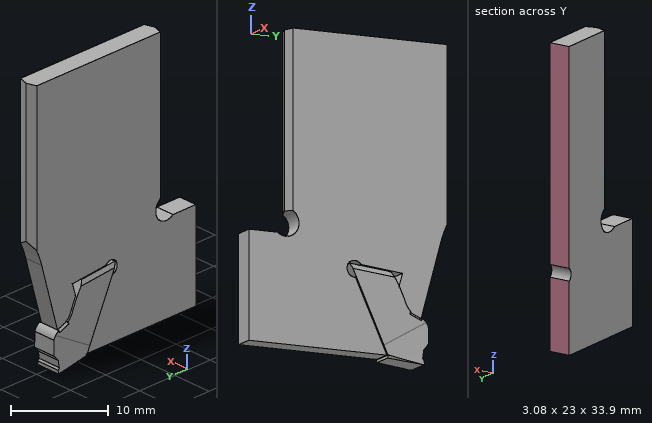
import cadquery as cq
import math

blade_half = 1.203
blade_top = 33.88
blade_back = 23.0
shank_front = 4.68
edge_bevel = 0.37
blade_bottom = 0.68
foot_top = 12.33
corner_center = (4.25, 13.5)
corner_radius = 1.5
back_start = (blade_back, 15.75)
back_bend = (22.53, 14.77)
back_end = (21.92, 13.05)

seat_bottom = (15.75, blade_bottom)
pocket_back = (17.55, 9.42)
pocket_front = (11.52, 10.0)
pocket_relief_center = (12.1, 9.35)
pocket_relief_radius = 0.88

insert_half = 1.42
cutting_half = 1.54
cutting_corner = (19.9, 0.0)
cutting_land = 0.45
chip_groove = (19.72, 0.68)
chip_ramp = (19.85, 1.55)
nose_y = 20.4
nose_bottom = 2.2
nose_top = 4.03
nose_round = (20.15, 4.5)
flank_bottom = (15.82, 0.37)
finger_tip = (19.7, 4.88)
finger_root = (18.4, 5.42)
finger_mid = (18.0, 5.93)
finger_side = (17.7, 6.6)
finger_contact = (17.1, 7.9)
inner_back = (16.23, 9.45)
inner_front = (11.52, 9.9)
end_bevel_x = 0.25
end_bevel_depth = 0.55
shoulder_bevel_x = 0.22
shoulder_bevel_depth = 0.27
flare_start = (15.15, 1.55)
flare_end = (19.72, 4.25)
flank_relief_x = 0.17
flank_relief_height = 0.27

overrun = 0.68


def extrude_x(sketch, half):
    """Extrude a closed (Y, Z) outline symmetrically about X = 0."""
    return sketch.close().extrude(half, both=True)


def disc(center, radius):
    return cq.Workplane("YZ").center(*center).circle(radius).extrude(blade_half, both=True)


def section_plane(start, end, excess):
    """Workplane square to the line start-end; local X is X, local Y points right of travel in (Y, Z)."""
    plane = cq.Plane(
        origin=(0, start[0], start[1]), xDir=(1, 0, 0), normal=(0, end[0] - start[0], end[1] - start[1]))
    return cq.Workplane(plane).workplane(offset=-excess)


def sweep_length(start, end, excess):
    return math.dist(start, end) + 2 * excess


def mirrored(tool):
    return tool, tool.mirror("YZ")


def tetrahedron(a, b, c, d):
    triangles = [(a, b, c), (a, b, d), (b, c, d), (c, a, d)]
    faces = [cq.Face.makeFromWires(cq.Wire.makePolygon([cq.Vector(*p) for p in t], close=True))
             for t in triangles]
    return cq.Workplane(cq.Solid.makeSolid(cq.Shell.makeShell(faces)))


def make_blade():
    outline = (
        cq.Workplane("YZ").moveTo(0, blade_bottom)
        .lineTo(0, foot_top)
        .lineTo(shank_front, foot_top)
        .lineTo(shank_front, blade_top)
        .lineTo(blade_back, blade_top)
        .lineTo(*back_start)
        .threePointArc(back_bend, back_end)
        .lineTo(*finger_tip)
        .lineTo(*finger_root)
        .threePointArc(finger_mid, finger_side)
        .lineTo(*finger_contact)
        .lineTo(*pocket_back)
        .lineTo(*pocket_front)
        .lineTo(*inner_front)
        .lineTo(*seat_bottom)
    )
    blade = extrude_x(outline, blade_half)
    blade = blade.cut(disc(corner_center, corner_radius))
    blade = blade.cut(disc(pocket_relief_center, pocket_relief_radius))

    shank_section = [
        (-blade_half, shank_front + edge_bevel), (0, shank_front),
        (blade_half, shank_front + edge_bevel), (blade_half, blade_back - edge_bevel),
        (0, blade_back), (-blade_half, blade_back - edge_bevel),
    ]
    envelope = cq.Workplane("XY").polyline(shank_section).close().extrude(blade_top)
    foot = cq.Workplane("XY").box(
        2 * blade_half, corner_center[0] + corner_radius, corner_center[1], centered=(True, False, False))
    return blade.intersect(envelope.union(foot))


def insert_body(half):
    outline = (
        cq.Workplane("YZ").moveTo(*flank_bottom)
        .lineTo(*cutting_corner)
        .lineTo(cutting_corner[0], cutting_land)
        .lineTo(*chip_groove)
        .lineTo(*chip_ramp)
        .lineTo(nose_y, nose_bottom)
        .lineTo(nose_y, nose_top)
        .threePointArc(nose_round, finger_tip)
        .lineTo(*finger_root)
        .threePointArc(finger_mid, finger_side)
        .lineTo(*finger_contact)
        .lineTo(*inner_back)
        .lineTo(*inner_front)
        .lineTo(*seat_bottom)
        .lineTo(flank_bottom[0], blade_bottom)
    )
    return extrude_x(outline, half)


def edge_bevel_tool(start, end, width, depth, excess=overrun):
    """Wedge that bevels the +X edge of a face whose material lies to the right of travel."""
    section = [(insert_half - width, 0), (insert_half, depth),
               (insert_half + overrun, depth), (insert_half + overrun, -overrun),
               (insert_half - width, -overrun)]
    profile = section_plane(start, end, excess).polyline(section).close()
    return profile.extrude(sweep_length(start, end, excess))


def make_insert():
    insert = insert_body(insert_half)

    dy = flare_end[0] - flare_start[0]
    dz = flare_end[1] - flare_start[1]
    corner_distance = abs(
        dy * (cutting_corner[1] - flare_start[1]) - dz * (cutting_corner[0] - flare_start[0])
    ) / math.hypot(dy, dz)
    rise = cutting_half - insert_half
    flare_radius = (corner_distance ** 2 + rise ** 2) / (2 * rise)
    half_angle = math.asin(corner_distance / flare_radius) / 2
    flare_mid = (
        insert_half + flare_radius * (1 - math.cos(half_angle)), flare_radius * math.sin(half_angle))
    flare_profile = (
        section_plane(flare_start, flare_end, overrun)
        .lineTo(insert_half, 0)
        .threePointArc(flare_mid, (cutting_half, corner_distance))
        .lineTo(0, corner_distance)
        .close()
    )
    flare = flare_profile.extrude(sweep_length(flare_start, flare_end, overrun))
    flare = flare.intersect(insert_body(cutting_half))
    for side in mirrored(flare):
        insert = insert.union(side)

    end_bevel = edge_bevel_tool(inner_front, inner_back, end_bevel_x, end_bevel_depth)
    shoulder = edge_bevel_tool(finger_root, finger_tip, shoulder_bevel_x, shoulder_bevel_depth, excess=0)
    for tool in (*mirrored(end_bevel), *mirrored(shoulder)):
        insert = insert.cut(tool)

    relief_y, relief_z = flank_bottom
    inner_x = insert_half - flank_relief_x
    outer_x = inner_x + 2 * flank_relief_x
    relief = tetrahedron(
        (inner_x, relief_y, relief_z),
        (outer_x, relief_y, relief_z),
        (outer_x, relief_y, relief_z + 2 * flank_relief_height),
        (cutting_half, *cutting_corner),
    )
    for tool in mirrored(relief):
        insert = insert.cut(tool)
    return insert


blade = make_blade()
insert = make_insert()
result = cq.Compound.makeCompound([blade.solids().val(), insert.solids().val()])